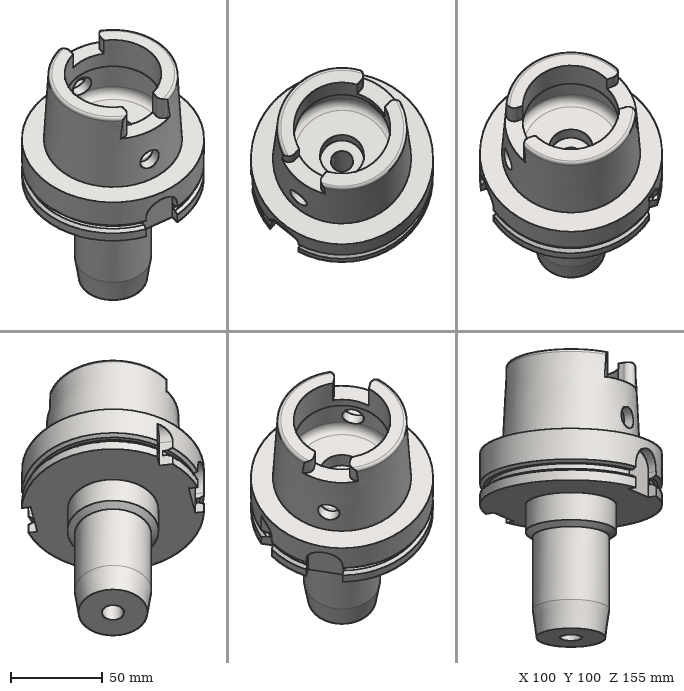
import cadquery as cq
import math

LENGTH = 155.0
FLANGE_TOP = LENGTH - 49.9
FLANGE_HEIGHT = 29.5
FLANGE_BOTTOM = FLANGE_TOP - FLANGE_HEIGHT
LOWER_RIM_HEIGHT = 5.7
GROOVE_GAP = 3.4
RIM_CHAMFER_HEIGHT = 1.4
NECK_LENGTH = 15.5
NECK_CHAMFER_HEIGHT = 2.8
TIP_HEIGHT = 16.0

FLANGE_RADIUS = 100.0 / 2
GROOVE_RADIUS = 45.9
RIM_CHAMFER_WIDTH = 2.2
TAPER_BASE_RADIUS = 38.0
TAPER_SLOPE = 0.05
TAPER_TOP_FILLET = 1.9
NECK_RADIUS = 25.0
SHANK_RADIUS = 21.1
TIP_RADIUS = 18.9

BORE_RADIUS = 26.5
BORE_LIP_DEPTH = 20.2
UNDERCUT_RADIUS = 31.5
UNDERCUT_BOTTOM_DEPTH = 40.5
BORE_FLOOR_FILLET = 5.0
BORE_DEPTH = UNDERCUT_BOTTOM_DEPTH + BORE_FLOOR_FILLET
COUNTERBORE_RADIUS = 12.1
COUNTERBORE_DEPTH = 9.3
COOLANT_RADIUS = 6.0

SLOT_WIDTH = 20.0
LEFT_SLOT_DEPTH = 10.0
RIGHT_SLOT_DEPTH = 14.9
SLOT_CORNER_RADIUS = 4.3
SLOT_SHOULDER_X = 32.4

CROSS_HOLE_RADIUS = 6.0
CROSS_HOLE_Z = LENGTH - 35.2

KEYWAY_WIDTH = 20.3
KEYWAY_FLOOR_X = 44.0
KEYWAY_TOP = FLANGE_TOP - 5.1
NOTCH_FLOOR_X = 31.5
NOTCH_WALL_Y = 31.5
NOTCH_CENTRE_Y = math.sqrt(FLANGE_RADIUS**2 - NOTCH_FLOOR_X**2)

CLEARANCE = 7.8


def make_body():
    lower_rim_top = FLANGE_BOTTOM + LOWER_RIM_HEIGHT
    groove_bottom = lower_rim_top + RIM_CHAMFER_HEIGHT
    groove_top = groove_bottom + GROOVE_GAP
    upper_rim_bottom = groove_top + RIM_CHAMFER_HEIGHT
    chamfered_radius = FLANGE_RADIUS - RIM_CHAMFER_WIDTH
    neck_bottom = FLANGE_BOTTOM - NECK_LENGTH
    taper_top_radius = TAPER_BASE_RADIUS - TAPER_SLOPE * (LENGTH - FLANGE_TOP)
    outline = [
        (0, 0),
        (TIP_RADIUS, 0),
        (SHANK_RADIUS, TIP_HEIGHT),
        (SHANK_RADIUS, neck_bottom - NECK_CHAMFER_HEIGHT),
        (NECK_RADIUS, neck_bottom),
        (NECK_RADIUS, FLANGE_BOTTOM),
        (FLANGE_RADIUS, FLANGE_BOTTOM),
        (FLANGE_RADIUS, lower_rim_top),
        (chamfered_radius, groove_bottom),
        (GROOVE_RADIUS, groove_bottom),
        (GROOVE_RADIUS, groove_top),
        (chamfered_radius, groove_top),
        (FLANGE_RADIUS, upper_rim_bottom),
        (FLANGE_RADIUS, FLANGE_TOP),
        (TAPER_BASE_RADIUS, FLANGE_TOP),
        (taper_top_radius, LENGTH),
        (0, LENGTH),
    ]
    body = cq.Workplane("XZ").polyline(outline).close().revolve(360, (0, 0), (0, 1))
    return body.faces(">Z").edges().fillet(TAPER_TOP_FILLET)


def make_bore():
    lip_bottom = LENGTH - BORE_LIP_DEPTH
    floor = LENGTH - BORE_DEPTH
    counterbore_floor = floor - COUNTERBORE_DEPTH
    return (
        cq.Workplane("XZ")
        .moveTo(0, -CLEARANCE)
        .lineTo(COOLANT_RADIUS, -CLEARANCE)
        .lineTo(COOLANT_RADIUS, counterbore_floor)
        .lineTo(COUNTERBORE_RADIUS, counterbore_floor)
        .lineTo(COUNTERBORE_RADIUS, floor)
        .lineTo(UNDERCUT_RADIUS - BORE_FLOOR_FILLET, floor)
        .tangentArcPoint((BORE_FLOOR_FILLET, BORE_FLOOR_FILLET))
        .lineTo(UNDERCUT_RADIUS, lip_bottom)
        .lineTo(BORE_RADIUS, lip_bottom)
        .lineTo(BORE_RADIUS, LENGTH + CLEARANCE)
        .lineTo(0, LENGTH + CLEARANCE)
        .close()
        .revolve(360, (0, 0), (0, 1))
    )


def make_drive_slot(side, depth):
    """Slot on the +X (side = 1) or -X (side = -1) wall, with rounded outer corners."""
    half_width = SLOT_WIDTH / 2
    corner_x = SLOT_SHOULDER_X - SLOT_CORNER_RADIUS
    corner_y = half_width + SLOT_CORNER_RADIUS
    arc_offset = SLOT_CORNER_RADIUS * math.sqrt(0.5)
    arc_mid_x = side * (corner_x + arc_offset)
    arc_mid_y = corner_y - arc_offset
    outer_x = side * (TAPER_BASE_RADIUS + CLEARANCE)
    outer_y = TAPER_BASE_RADIUS
    return (
        cq.Workplane("XY", origin=(0, 0, LENGTH - depth))
        .moveTo(0, half_width)
        .lineTo(side * corner_x, half_width)
        .threePointArc((arc_mid_x, arc_mid_y), (side * SLOT_SHOULDER_X, corner_y))
        .lineTo(side * SLOT_SHOULDER_X, outer_y)
        .lineTo(outer_x, outer_y)
        .lineTo(outer_x, -outer_y)
        .lineTo(side * SLOT_SHOULDER_X, -outer_y)
        .lineTo(side * SLOT_SHOULDER_X, -corner_y)
        .threePointArc((arc_mid_x, -arc_mid_y), (side * corner_x, -half_width))
        .lineTo(0, -half_width)
        .close()
        .extrude(depth + CLEARANCE)
    )


def make_flange_pocket(side, floor_x, centre_y, width):
    """Round-topped pocket, open at the flange underside, with a flat floor facing side * X."""
    radius = width / 2
    arch_z = KEYWAY_TOP - radius
    return (
        cq.Workplane("YZ", origin=(side * floor_x, 0, 0))
        .moveTo(centre_y - radius, FLANGE_BOTTOM)
        .lineTo(centre_y - radius, arch_z)
        .threePointArc((centre_y, KEYWAY_TOP), (centre_y + radius, arch_z))
        .lineTo(centre_y + radius, FLANGE_BOTTOM)
        .close()
        .extrude(side * (FLANGE_RADIUS + CLEARANCE - floor_x))
    )


result = make_body().cut(make_bore())

for side, slot_depth in ((-1, LEFT_SLOT_DEPTH), (1, RIGHT_SLOT_DEPTH)):
    result = result.cut(make_drive_slot(side, slot_depth))
    result = result.cut(make_flange_pocket(side, KEYWAY_FLOOR_X, 0, KEYWAY_WIDTH))

notch_width = 2 * (NOTCH_CENTRE_Y - NOTCH_WALL_Y)
result = result.cut(make_flange_pocket(-1, NOTCH_FLOOR_X, NOTCH_CENTRE_Y, notch_width))

cross_hole_reach = TAPER_BASE_RADIUS + CLEARANCE
cross_hole = (
    cq.Workplane("YZ", origin=(-cross_hole_reach, 0, CROSS_HOLE_Z))
    .circle(CROSS_HOLE_RADIUS)
    .extrude(2 * cross_hole_reach)
)
result = result.cut(cross_hole)